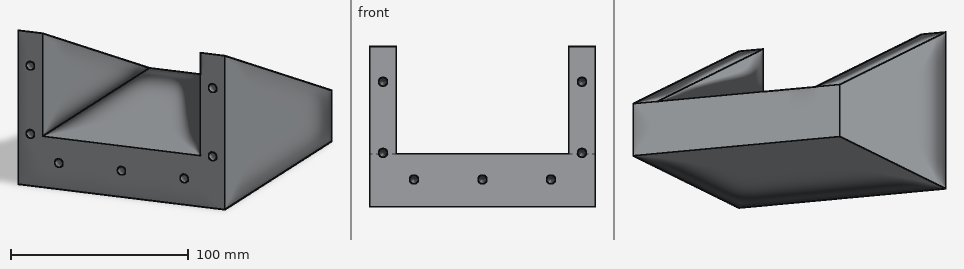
import cadquery as cq
import math

width = 127.0
length = 150.0
front_height = 90.5
floor_height = 30.0
wall = 15.0

hole_diameter = 5.0
hole_depth = 15.0
drill_tip_angle = 118.0
floor_hole_spacing = 38.5
floor_hole_height = 15.5
wall_hole_x = (width - wall) / 2
wall_hole_heights = (30.5, 70.5)


def make_body():
    """Wedge-shaped side profile with the channel between the walls removed."""
    wedge = (
        cq.Workplane("YZ")
        .polyline([(0, 0), (length, 0), (length, floor_height), (0, front_height)])
        .close()
        .extrude(width / 2, both=True)
    )
    channel = cq.Workplane("XY").box(
        width - 2 * wall, length, front_height, centered=(True, False, False)
    ).translate((0, 0, floor_height))
    return wedge.cut(channel)


def hole_centres():
    """X, Z positions of the floor row and the two wall columns."""
    floor_row = [(i * floor_hole_spacing, floor_hole_height) for i in (-1, 0, 1)]
    wall_columns = [(side * wall_hole_x, z) for side in (-1, 1) for z in wall_hole_heights]
    return floor_row + wall_columns


def make_drill(x, z):
    """Cylinder with a conical tip, entering the front face along +Y."""
    radius = hole_diameter / 2
    tip = radius / math.tan(math.radians(drill_tip_angle / 2))
    return (
        cq.Workplane("XY")
        .polyline([(0, 0), (radius, 0), (radius, hole_depth), (0, hole_depth + tip)])
        .close()
        .revolve(360, (0, 0), (0, 1))
        .translate((x, 0, z))
    )


result = make_body()
for x, z in hole_centres():
    result = result.cut(make_drill(x, z))